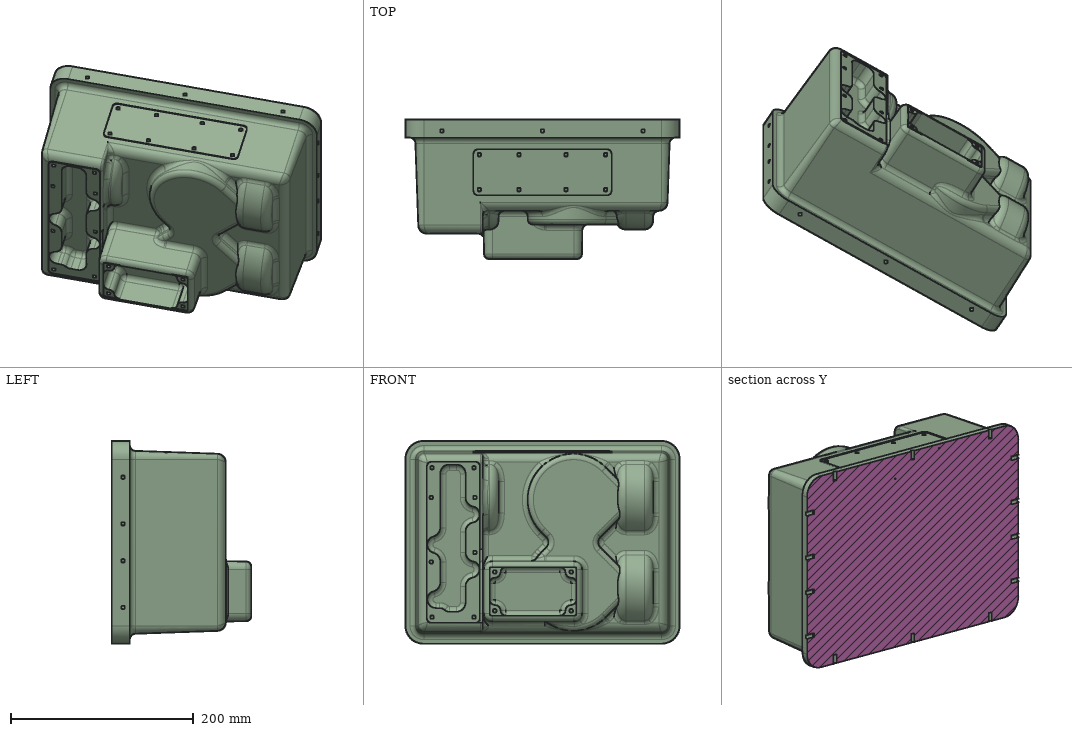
import cadquery as cq
import math


FLANGE_WIDTH = 300.0
FLANGE_HEIGHT = 222.0
FLANGE_DEPTH = 20.0
FLANGE_CORNER = 20.0

BODY_INSET = 10.0
BODY_WIDTH = FLANGE_WIDTH - 2 * BODY_INSET
BODY_HEIGHT = FLANGE_HEIGHT - 2 * BODY_INSET
BODY_CORNER = FLANGE_CORNER - BODY_INSET
BODY_DRAFT = 2.0
FACE_DEPTH = 100.0
EDGE_ROUND = 10.0
ROOT_ROUND = 6.0

BLOCK_DEPTH = 125.0
BLOCK_SIDE_X = -65.3
BLOCK_LIP_ROUND = 3.0

PAD_DEPTH = 115.0
LOBE_RADIUS = 50.0
LOBE_X = 33.7
LOBE_Z = 46.7
WAIST_ROUND = 8.0
PAD_EDGE_ROUND = 6.0

WHEEL_RADIUS = 45.0
WHEEL_WIDTH = 40.0
WHEEL_AXIS_DEPTH = 75.5
WHEEL_EDGE_ROUND = 10.0
WHEEL_Z = 49.4
WHEEL_X = 101.0
BLOCK_WHEEL_X = -68.0

BOX_WIDTH = 109.6
BOX_HEIGHT = 67.8
BOX_X = -10.4
BOX_Z = -53.6
BOX_CORNER = 10.0
BOX_START_DEPTH = 80.0
BOX_DEPTH = 152.76
BOX_DRAFT = 1.0
BOX_EDGE_ROUND = 6.0

LID_WIDTH = 94.8
LID_HEIGHT = 53.0
LID_CORNER = 2.0
LID_RECESS = 1.0
CAVITY_DEPTH = 33.0
CAVITY_FLOOR_ROUND = 5.8
POST_PITCH_X = 83.6
POST_PITCH_Z = 42.5
POST_RADIUS = 6.3
POST_BLEND = 6.0

SEAT_WIDTH = 58.0
SEAT_HEIGHT = 176.0
SEAT_X = -97.4
SEAT_CORNER = 5.0
SEAT_RECESS = 1.0
CHANNEL_LEFT = -111.8
CHANNEL_RIGHT = -84.1
CHANNEL_TOP = 85.0
CHANNEL_BOTTOM = -75.9
CHANNEL_CORNER = 10.0
CHANNEL_DEPTH = 25.0
NOTCH_HALF_SPAN = 18.6
NOTCH_PITCH = 60.0
LEFT_NOTCH_TIP = -125.9
LEFT_NOTCH_Z = -2.5
RIGHT_NOTCH_TIP = -68.9
RIGHT_NOTCH_Z = 30.4
STEP_START_X = -112.7

PANEL_WIDTH = 151.0
PANEL_LENGTH = 50.2
PANEL_DEPTH = 57.8
PANEL_CORNER = 5.0
PANEL_RECESS = 1.0

SCREW_DIAMETER = 4.0
SCREW_LENGTH = 10.0
FLANGE_SCREW_DEPTH = 12.5
FLANGE_SCREWS_X = (-110.0, 0.0, 110.0)
FLANGE_SCREWS_Z = (-71.2, -20.2, 20.2, 71.2)
PANEL_SCREWS_X = (-69.0, -25.7, 25.7, 69.0)
PANEL_SCREW_PITCH_Y = 38.2
SEAT_SCREWS = (
    (-120.7, 81.5),
    (-74.9, 81.5),
    (-121.6, 49.0),
    (-73.9, 49.0),
    (-73.9, -11.1),
    (-121.6, -21.4),
    (-120.7, -81.8),
    (-74.9, -81.8),
)

BEYOND = 400.0
TOUCHING = 1e-4


def front_plane(depth):
    """Workplane at a depth, drawn in X and Z and extruding towards -Y."""
    return cq.Workplane("XZ", origin=(0, -depth, 0))


def rounded_slab(width, height, corner, start, end, draft=0.0, center=(0, 0)):
    outline = cq.Sketch().push([center]).rect(width, height).reset().vertices().fillet(corner)
    return front_plane(start).placeSketch(outline).extrude(end - start, taper=draft)


def lies_on(edge, solid):
    middle = cq.Vertex.makeVertex(*edge.positionAt(0.5).toTuple())
    return any(shell.distance(middle) < TOUCHING for shell in solid.shells().vals())


def junction(body, first, second, min_depth):
    """Edges of body, in front of min_depth, where the surfaces of two joined solids meet."""
    front = [e for e in body.edges().vals() if e.BoundingBox().ymax < -min_depth]
    return [e for e in front if lies_on(e, first) and lies_on(e, second)]


def polar(center, radius, angle):
    a = math.radians(angle)
    return (center[0] + radius * math.cos(a), center[1] + radius * math.sin(a))


def arc(path, center, radius, start, end):
    """Continue path along a circle, from the start angle to the end angle in degrees."""
    return path.threePointArc(polar(center, radius, (start + end) / 2), polar(center, radius, end))


def make_low_body():
    body = rounded_slab(BODY_WIDTH, BODY_HEIGHT, BODY_CORNER, 0, FACE_DEPTH, BODY_DRAFT)
    return body.faces("<Y").edges().fillet(EDGE_ROUND)


def make_block():
    block = rounded_slab(BODY_WIDTH, BODY_HEIGHT, BODY_CORNER, 0, BLOCK_DEPTH, BODY_DRAFT)
    cut_away = cq.Workplane("XY").box(BEYOND, 2 * BEYOND, BEYOND, centered=(False, True, True))
    block = block.cut(cut_away.translate((BLOCK_SIDE_X, 0, 0)))
    block = block.faces("<Y").edges("not >X").fillet(EDGE_ROUND)
    side_edges = [e for e in block.faces(">X").edges().vals() if e.BoundingBox().ymin < -1]
    return block.newObject(side_edges).fillet(BLOCK_LIP_ROUND)


def make_pad():
    """Two lobes joined at a waist by 45 degree tangents, each with a corner pointing to +X."""
    diagonal = LOBE_RADIUS / math.sqrt(2)
    reach = LOBE_RADIUS * math.sqrt(2)
    left, right = LOBE_X - diagonal, LOBE_X + diagonal
    top, bottom = LOBE_Z + diagonal, LOBE_Z - diagonal
    outline = (
        front_plane(BODY_INSET)
        .moveTo(LOBE_X - reach + LOBE_Z, 0)
        .lineTo(left, bottom)
        .threePointArc((left, top), (right, top))
        .lineTo(LOBE_X + reach, LOBE_Z)
        .lineTo(LOBE_X + reach - LOBE_Z, 0)
        .lineTo(LOBE_X + reach, -LOBE_Z)
        .lineTo(right, -top)
        .threePointArc((left, -top), (left, -bottom))
        .close()
    )
    pad = outline.extrude(PAD_DEPTH - BODY_INSET)
    waist = [e for e in pad.edges("|Y").vals() if abs(e.Center().z) < 1]
    pad = pad.newObject(waist).fillet(WAIST_ROUND)
    return pad.faces("<Y").edges().fillet(PAD_EDGE_ROUND)


def make_wheel(x, z):
    side = cq.Workplane("YZ", origin=(x - WHEEL_WIDTH / 2, -WHEEL_AXIS_DEPTH, z))
    return side.circle(WHEEL_RADIUS).extrude(WHEEL_WIDTH).edges().fillet(WHEEL_EDGE_ROUND)


def make_box():
    box = rounded_slab(
        BOX_WIDTH, BOX_HEIGHT, BOX_CORNER, BOX_START_DEPTH, BOX_DEPTH, BOX_DRAFT, (BOX_X, BOX_Z)
    )
    return box.faces("<Y").edges().fillet(BOX_EDGE_ROUND)


def make_block_cove(box):
    """Hollow round from the block front up to the left wall of the terminal box."""
    plate = front_plane(FACE_DEPTH).rect(BEYOND, BEYOND).extrude(BLOCK_DEPTH - FACE_DEPTH)
    joined = plate.union(box)
    foot = joined.newObject(junction(joined, plate, box, BLOCK_DEPTH - 1)).fillet(ROOT_ROUND)
    strip_width = ROOT_ROUND + 1
    bottom_z = -SEAT_HEIGHT / 2
    top_z = BOX_Z + BOX_HEIGHT / 2 + 2 * ROOT_ROUND
    strip = (
        front_plane(BLOCK_DEPTH - BLOCK_LIP_ROUND - 1)
        .center(BLOCK_SIDE_X - strip_width / 2, (bottom_z + top_z) / 2)
        .rect(strip_width, top_z - bottom_z)
        .extrude(BLOCK_LIP_ROUND + 1 + ROOT_ROUND)
    )
    return foot.intersect(strip)


def make_shell():
    low = make_low_body()
    block = make_block()
    core = low.union(block)
    core = core.newObject(junction(core, low, block, FACE_DEPTH - EDGE_ROUND)).fillet(ROOT_ROUND)

    box = make_box()
    low_with_box = low.union(box)
    box_foot = junction(low_with_box, low, box, FACE_DEPTH - EDGE_ROUND)
    low_with_box = low_with_box.newObject(box_foot).fillet(ROOT_ROUND)
    core = core.union(low_with_box)

    pad = make_pad()
    wheels = make_wheel(WHEEL_X, WHEEL_Z).union(make_wheel(WHEEL_X, -WHEEL_Z))
    bulges = pad.union(wheels).union(make_wheel(BLOCK_WHEEL_X, WHEEL_Z))
    shell = core.union(bulges)
    shell = shell.newObject(junction(shell, core, bulges, FACE_DEPTH - EDGE_ROUND)).fillet(ROOT_ROUND)
    shell = shell.union(make_block_cove(box))

    flange = rounded_slab(FLANGE_WIDTH, FLANGE_HEIGHT, FLANGE_CORNER, 0, FLANGE_DEPTH)
    shell = shell.union(flange)
    flange_front = cq.selectors.BoxSelector(
        (-BEYOND, -FLANGE_DEPTH - 0.1, -BEYOND), (BEYOND, -FLANGE_DEPTH + 0.1, BEYOND)
    )
    neck = [e for e in shell.faces(flange_front).edges().vals() if lies_on(e, low)]
    return shell.newObject(neck).fillet(ROOT_ROUND)


def cut_box_cavity(body):
    center = (BOX_X, BOX_Z)
    recess = rounded_slab(LID_WIDTH, LID_HEIGHT, LID_CORNER, BOX_DEPTH - LID_RECESS, BOX_DEPTH, 0, center)

    half_width, half_height = LID_WIDTH / 2, LID_HEIGHT / 2
    post_x, post_z = POST_PITCH_X / 2, POST_PITCH_Z / 2
    blend_z = half_height - POST_BLEND
    blend_x = half_width - POST_BLEND
    reach = POST_RADIUS + POST_BLEND
    tilt_z = math.degrees(math.asin((blend_z - post_z) / reach))
    tilt_x = math.degrees(math.asin((blend_x - post_x) / reach))
    wall_start_x = post_x - reach * math.cos(math.radians(tilt_z))
    wall_start_z = post_z - reach * math.cos(math.radians(tilt_x))

    cavity = front_plane(BOX_DEPTH - LID_RECESS - CAVITY_DEPTH).center(*center)
    cavity = cavity.moveTo(-wall_start_x, half_height).lineTo(wall_start_x, half_height)
    for sx, sz in ((1, 1), (1, -1), (-1, -1), (-1, 1)):
        near_top = ((sx * wall_start_x, sz * blend_z), 90, -tilt_z)
        post = ((sx * post_x, sz * post_z), 180 - tilt_z, 270 + tilt_x)
        near_side = ((sx * blend_x, sz * wall_start_z), 90 + tilt_x, 0)
        stretches = [near_top, post, near_side]
        radii = [POST_BLEND, POST_RADIUS, POST_BLEND]
        if sx != sz:
            stretches = [(c, end, start) for c, start, end in reversed(stretches)]
            cavity = cavity.lineTo(sx * half_width, sz * wall_start_z)
        elif sx < 0:
            cavity = cavity.lineTo(sx * wall_start_x, sz * half_height)
        for (c, start, end), radius in zip(stretches, radii):
            if sx < 0:
                start, end = 180 - start, 180 - end
            if sz < 0:
                start, end = -start, -end
            cavity = arc(cavity, c, radius, start, end)
    cavity = cavity.close().extrude(CAVITY_DEPTH + LID_RECESS / 2)
    cavity = cavity.faces(">Y").edges().fillet(CAVITY_FLOOR_ROUND)

    posts = [(BOX_X + sx * post_x, BOX_Z + sz * post_z) for sx in (-1, 1) for sz in (-1, 1)]
    return body.cut(recess).cut(cavity).cut(front_screws(posts, BOX_DEPTH - LID_RECESS))


def notch(wall_x, tip_x):
    """Tip radius, tip centre X and tangent angle of a rounded notch between two wall corners."""
    rise = abs(tip_x - wall_x) - CHANNEL_CORNER
    radius = (rise**2 + NOTCH_HALF_SPAN**2 - CHANNEL_CORNER**2) / (2 * (CHANNEL_CORNER + rise))
    side = math.copysign(1, tip_x - wall_x)
    tilt = math.degrees(math.asin(NOTCH_HALF_SPAN / (CHANNEL_CORNER + radius)))
    return radius, tip_x - side * radius, tilt if rise > radius else 180 - tilt


def cut_block_cavity(body):
    seat_depth = BLOCK_DEPTH - SEAT_RECESS
    seat = rounded_slab(
        SEAT_WIDTH, SEAT_HEIGHT, SEAT_CORNER, seat_depth, BLOCK_DEPTH + ROOT_ROUND, 0, (SEAT_X, 0)
    )

    r = CHANNEL_CORNER
    left, right, top, bottom = CHANNEL_LEFT, CHANNEL_RIGHT, CHANNEL_TOP, CHANNEL_BOTTOM
    channel = front_plane(BLOCK_DEPTH - CHANNEL_DEPTH).moveTo(left, top - r)
    channel = arc(channel, (left + r, top - r), r, 180, 90).lineTo(right - r, top)
    channel = arc(channel, (right - r, top - r), r, 90, 0)

    tip_radius, tip_x, tilt = notch(right, RIGHT_NOTCH_TIP)
    corner_x = right + r
    for z in (RIGHT_NOTCH_Z, RIGHT_NOTCH_Z - NOTCH_PITCH):
        channel = channel.lineTo(right, z + NOTCH_HALF_SPAN)
        channel = arc(channel, (corner_x, z + NOTCH_HALF_SPAN), r, 180, 360 - tilt)
        channel = arc(channel, (tip_x, z), tip_radius, 180 - tilt, tilt - 180)
        channel = arc(channel, (corner_x, z - NOTCH_HALF_SPAN), r, tilt, 180)

    channel = channel.lineTo(right, bottom + r)
    channel = arc(channel, (right - r, bottom + r), r, 0, -90).lineTo(left + r, bottom)

    tip_radius, tip_x, tilt = notch(left, LEFT_NOTCH_TIP)
    corner_x = left - r
    low_z = LEFT_NOTCH_Z - NOTCH_PITCH
    flat_z = low_z - tip_radius
    step_run = left + r - STEP_START_X
    step_rise = flat_z - bottom
    step_radius = (step_run**2 + step_rise**2) / (4 * step_rise)
    step_turn = math.degrees(2 * math.atan(step_rise / step_run))
    channel = arc(channel, (left + r, bottom + step_radius), step_radius, -90, -90 - step_turn)
    channel = arc(channel, (STEP_START_X, flat_z - step_radius), step_radius, 90 - step_turn, 90)
    channel = channel.lineTo(tip_x, flat_z)
    channel = arc(channel, (tip_x, low_z), tip_radius, 270, tilt)
    channel = arc(channel, (corner_x, low_z + NOTCH_HALF_SPAN), r, tilt - 180, 0)

    channel = channel.lineTo(left, LEFT_NOTCH_Z - NOTCH_HALF_SPAN)
    channel = arc(channel, (corner_x, LEFT_NOTCH_Z - NOTCH_HALF_SPAN), r, 0, 180 - tilt)
    channel = arc(channel, (tip_x, LEFT_NOTCH_Z), tip_radius, 360 - tilt, tilt)
    channel = arc(channel, (corner_x, LEFT_NOTCH_Z + NOTCH_HALF_SPAN), r, tilt - 180, 0)
    channel = channel.close().extrude(CHANNEL_DEPTH)
    channel = channel.faces(">Y").edges().fillet(ROOT_ROUND)
    return body.cut(seat).cut(channel).cut(front_screws(SEAT_SCREWS, seat_depth))


def front_screws(places, depth):
    return (
        front_plane(depth - SCREW_LENGTH)
        .pushPoints(places)
        .circle(SCREW_DIAMETER / 2)
        .extrude(SCREW_LENGTH)
    )


def cut_flange_screws(body):
    side_to_side = cq.Workplane("YZ", origin=(-FLANGE_WIDTH / 2, -FLANGE_SCREW_DEPTH, 0))
    side_to_side = side_to_side.pushPoints([(0, z) for z in FLANGE_SCREWS_Z])
    left = side_to_side.circle(SCREW_DIAMETER / 2).extrude(SCREW_LENGTH)
    upright = cq.Workplane("XY", origin=(0, -FLANGE_SCREW_DEPTH, FLANGE_HEIGHT / 2))
    upright = upright.pushPoints([(x, 0) for x in FLANGE_SCREWS_X])
    top = upright.circle(SCREW_DIAMETER / 2).extrude(-SCREW_LENGTH)
    for screws, plane in ((left, "YZ"), (top, "XY")):
        body = body.cut(screws).cut(screws.mirror(plane))
    return body


def cut_panel_seat(body):
    slope = math.radians(BODY_DRAFT)
    surface_z = BODY_HEIGHT / 2 - PANEL_DEPTH * math.tan(slope)
    surface = cq.Plane(
        origin=(0, -PANEL_DEPTH, surface_z),
        xDir=(1, 0, 0),
        normal=(0, -math.sin(slope), math.cos(slope)),
    )
    outline = cq.Sketch().rect(PANEL_WIDTH, PANEL_LENGTH).vertices().fillet(PANEL_CORNER)
    seat = cq.Workplane(surface).placeSketch(outline).extrude(-PANEL_RECESS)
    rows = (-PANEL_SCREW_PITCH_Y / 2, PANEL_SCREW_PITCH_Y / 2)
    screws = cq.Workplane(surface).pushPoints([(x, y) for x in PANEL_SCREWS_X for y in rows])
    screws = screws.circle(SCREW_DIAMETER / 2).extrude(-PANEL_RECESS - SCREW_LENGTH)
    return body.cut(seat).cut(screws)


result = make_shell()
result = cut_box_cavity(result)
result = cut_block_cavity(result)
result = cut_flange_screws(result)
result = cut_panel_seat(result)